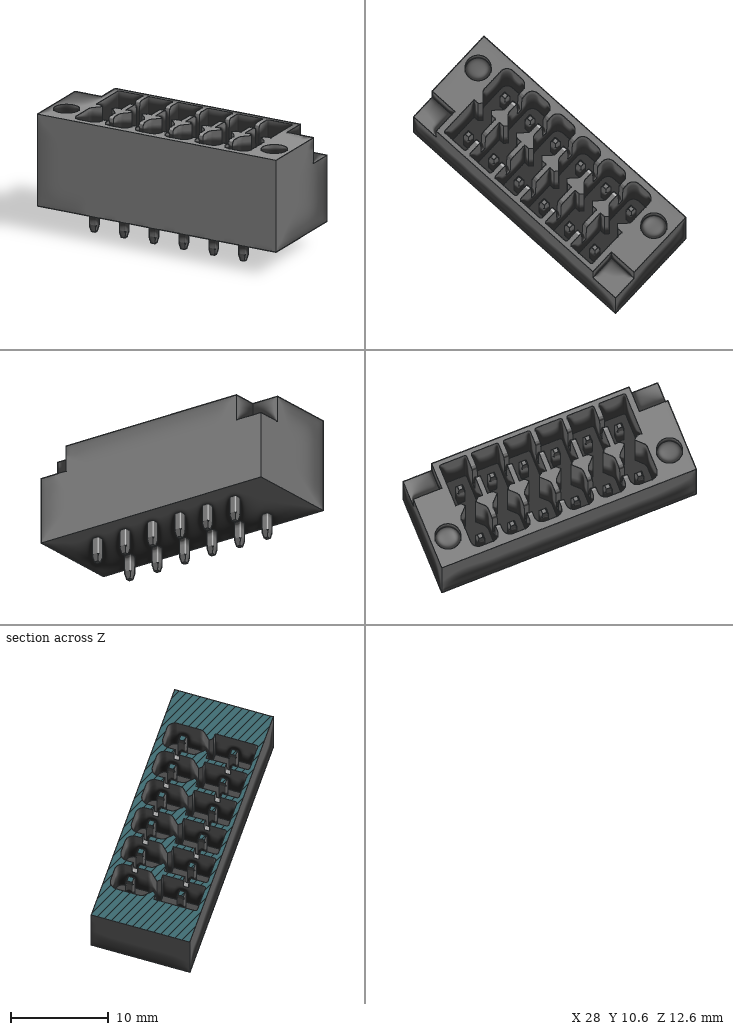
import cadquery as cq


length = 28.0
depth = 10.6
height = 10.0
end_step_length = 3.15
end_step_size = 2.8

hole_diameter = 2.7
hole_depth = 1.32
hole_from_end = 1.82
hole_y = 2.85

pin_pairs = 6
pitch = 3.5
web = 0.53
front_wall = 0.67
back_wall = 0.48
pocket_depth = 8.12
front_corner_radius = 0.85
back_corner_radius = 0.2

nose_ledge_y = 5.57
nose_ledge = 0.55
nose_reach = 0.92
nose_bend_radius = 0.73

pin_rows_y = (2.55, 8.05)
pin_width = 0.8
pin_edge_radius = 0.15
pin_tip_width = 0.45
pin_tip_length = 0.78
pin_below = 2.6
pin_top_z = 6.45

slot_depth = 5.05
slot_mouth = 1.5
slot_top_width = 0.73
slot_bottom_width = 0.55
slot_lip = 0.4
slot_floor_radius = 0.15

pocket_width = pitch - web
pocket_half = pocket_width / 2
pocket_floor = height - pocket_depth
nose_tip_y = nose_ledge_y - (nose_reach - nose_ledge)
nose_bend_y = nose_tip_y - nose_reach
row_span = pitch * (pin_pairs - 1)
pair_positions = [i * pitch - row_span / 2 for i in range(pin_pairs)]


def make_housing():
    """Block with a step cut from each upper back corner and a blind hole at each end."""
    housing = cq.Workplane("XY").box(length, depth, height, centered=(True, False, False))
    for side in (-1, 1):
        step = (
            cq.Workplane("XY")
            .box(2 * end_step_length, 2 * end_step_size, 2 * end_step_size)
            .translate((side * length / 2, depth, height))
        )
        hole = (
            cq.Workplane("XY", origin=(side * (length / 2 - hole_from_end), hole_y, height))
            .circle(hole_diameter / 2)
            .extrude(-hole_depth)
        )
        housing = housing.cut(step).cut(hole)
    return housing


def make_nose(side):
    """Prism with a square tip between two 45 degree flanks."""
    wall_x = side * pocket_half
    ledge_end_x = side * (pocket_half - nose_ledge)
    tip_x = side * (pocket_half - nose_reach)
    return (
        cq.Workplane("XY")
        .moveTo(wall_x, nose_ledge_y)
        .lineTo(ledge_end_x, nose_ledge_y)
        .lineTo(tip_x, nose_tip_y)
        .lineTo(wall_x, nose_bend_y)
        .close()
        .extrude(pocket_depth)
    )


def make_pocket():
    """Volume removed for one pin pair, centred on X = 0."""
    pocket = (
        cq.Workplane("XY", origin=(0, front_wall, 0))
        .box(pocket_width, depth - front_wall - back_wall, pocket_depth, centered=(True, False, False))
        .edges("|Z and <Y")
        .fillet(front_corner_radius)
        .edges("|Z and >Y")
        .fillet(back_corner_radius)
    )
    for side in (-1, 1):
        bend = (side * pocket_half, nose_bend_y, pocket_depth / 2)
        pocket = (
            pocket.cut(make_nose(side))
            .edges(cq.selectors.NearestToPointSelector(bend))
            .fillet(nose_bend_radius)
        )
    return pocket.translate((0, 0, pocket_floor))


def make_slot(row_y):
    """Tapered slot with rounded lips, running from the first pin to the last."""
    return (
        cq.Workplane("YZ", origin=(-row_span / 2, row_y, height))
        .moveTo(0, -slot_depth)
        .lineTo(slot_bottom_width / 2, -slot_depth)
        .lineTo(slot_top_width / 2, -slot_lip)
        .tangentArcPoint((slot_mouth / 2, 0), relative=False)
        .lineTo(0, 0)
        .mirrorY()
        .extrude(row_span)
        .edges("|X and <Z")
        .fillet(slot_floor_radius)
    )


def make_pin():
    """Square pin with rounded edges and a pyramid taper at each end."""
    pin_length = pin_top_z + pin_below
    shank = (
        cq.Workplane("XY", origin=(0, 0, -pin_below))
        .rect(pin_width, pin_width)
        .extrude(pin_length)
        .edges("|Z")
        .fillet(pin_edge_radius)
    )
    half = pin_width / 2
    tip = pin_tip_width / 2
    profile = [
        (tip, -pin_below),
        (half, pin_tip_length - pin_below),
        (half, pin_top_z - pin_tip_length),
        (tip, pin_top_z),
    ]
    outline = profile + [(-x, z) for x, z in reversed(profile)]
    for plane in ("XZ", "YZ"):
        shank = shank.intersect(cq.Workplane(plane).polyline(outline).close().extrude(half, both=True))
    return shank


result = make_housing()
pocket = make_pocket()
pin = make_pin()

for x in pair_positions:
    result = result.cut(pocket.translate((x, 0, 0)))
for row_y in pin_rows_y:
    result = result.cut(make_slot(row_y))
for row_y in pin_rows_y:
    for x in pair_positions:
        result = result.union(pin.translate((x, row_y, 0)))